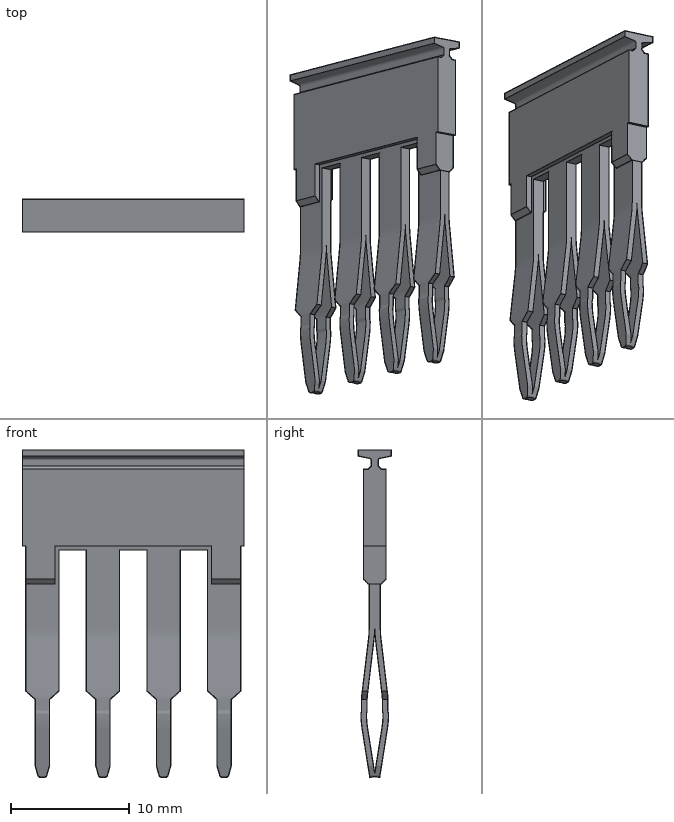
import cadquery as cq
import math


total_height = 27.6
housing_length = 18.7

flange_width = 2.8
flange_edge_height = 0.52
flange_underside_drop = 0.22
neck_width = 0.6
neck_fillet = 0.17
neck_chamfer = 0.28
housing_width = 1.93
shoulder_depth = 1.63
block_depth = 8.12

tab_depth = 11.32
tab_end_step = 0.28
tab_chamfer = 0.45

prong_count = 4
prong_pitch = 5.1
prong_width = 2.82
prong_overhang = 0.35
tab_wall = 0.28
spine_drop = 0.33
spine_height = 3.6
neckdown_top = 7.3
neckdown_bottom = 6.57
tip_width = 1.21
tip_taper_height = 0.97
tip_end_width = 0.65
tip_corner_radius = 0.25

comb_thickness = 0.97
leg_thickness = comb_thickness / 2
spread_angle = 6.8
spread_start = 12.5
spread_end = 11.68
straighten_start = 6.99
straighten_end = 6.57
jog_start = 5.63
jog_end = 5.35
jog_offset = 0.05
closing_end = 4.11
closing_angle = 9.0

shoulder_z = total_height - shoulder_depth
block_bottom = total_height - block_depth
tab_bottom = total_height - tab_depth
spine_bottom = block_bottom - spine_drop
spine_top = spine_bottom + spine_height
comb_length = (prong_count - 1) * prong_pitch + prong_width
prong_positions = [(i - (prong_count - 1) / 2) * prong_pitch for i in range(prong_count)]
tab_outer_x = housing_length / 2 - tab_end_step
tab_inner_x = comb_length / 2 - prong_width + prong_overhang
tab_length = tab_outer_x - tab_inner_x

spread_slope = math.tan(math.radians(spread_angle))
closing_slope = math.tan(math.radians(closing_angle))


def make_rail():
    """Main block with the flange standing on a narrow neck along its top."""
    flange_bottom = total_height - flange_edge_height
    neck_top = flange_bottom - flange_underside_drop
    half_profile = (
        cq.Workplane("YZ")
        .moveTo(0, total_height)
        .lineTo(flange_width / 2, total_height)
        .lineTo(flange_width / 2, flange_bottom)
        .lineTo(neck_width / 2, neck_top)
        .lineTo(neck_width / 2, shoulder_z + neck_chamfer)
        .lineTo(neck_width / 2 + neck_chamfer, shoulder_z)
        .lineTo(housing_width / 2, shoulder_z)
        .lineTo(housing_width / 2, block_bottom)
        .lineTo(0, block_bottom)
        .close()
    )
    half = half_profile.extrude(housing_length / 2, both=True)
    neck_edge = cq.selectors.NearestToPointSelector((0, neck_width / 2, neck_top))
    half = half.edges(neck_edge).fillet(neck_fillet)
    return half.union(half.mirror("XZ"))


def make_tab(side):
    """End tab reaching down over an outer prong; side is -1 or 1."""
    return (
        cq.Workplane("XY", origin=(side * (tab_outer_x - tab_length / 2), 0, tab_bottom))
        .rect(tab_length, housing_width)
        .extrude(block_bottom - tab_bottom)
        .edges("|X and <Z")
        .chamfer(tab_chamfer)
    )


def make_prong_outline(x):
    """Flat outline of one prong centred on x, thick enough to span the spread legs."""
    half_width = prong_width / 2
    half_tip = tip_width / 2
    right_side = [
        (half_width, spine_top),
        (half_width, neckdown_top),
        (half_tip, neckdown_bottom),
        (half_tip, tip_taper_height),
        (tip_end_width / 2, 0),
    ]
    left_side = [(-px, pz) for px, pz in reversed(right_side)]
    outline = [(x + px, pz) for px, pz in right_side + left_side]
    return (
        cq.Workplane("XZ")
        .polyline(outline)
        .close()
        .extrude(flange_width / 2, both=True)
        .edges("|Y and <Z")
        .fillet(tip_corner_radius)
    )


def make_comb_profile():
    """Comb cross-section extruded along X: solid at the top, split into two legs below."""
    spread_middle = (spread_start + spread_end) / 2
    straighten_middle = (straighten_start + straighten_end) / 2
    closing_middle = (jog_end + closing_end) / 2

    spread_shift = (spread_middle - spread_end) * spread_slope
    straighten_shift = (straighten_start - straighten_middle) * spread_slope
    closing_shift = (closing_middle - closing_end) * closing_slope

    outer_top = comb_thickness / 2
    outer_straight = outer_top + (spread_middle - straighten_middle) * spread_slope
    outer_jogged = outer_straight + jog_offset
    outer_tip = outer_jogged - closing_middle * closing_slope

    inner_straight = outer_straight - leg_thickness
    inner_jogged = outer_jogged - leg_thickness
    inner_closed = closing_middle - inner_jogged / closing_slope

    half_profile = (
        cq.Workplane("YZ")
        .moveTo(0, spine_top)
        .lineTo(outer_top, spine_top)
        .lineTo(outer_top, spread_start)
        .tangentArcPoint((outer_top + spread_shift, spread_end), relative=False)
        .lineTo(outer_straight - straighten_shift, straighten_start)
        .tangentArcPoint((outer_straight, straighten_end), relative=False)
        .lineTo(outer_straight, jog_start)
        .lineTo(outer_jogged, jog_end)
        .threePointArc(
            (outer_jogged - closing_shift / 4, closing_middle),
            (outer_jogged - closing_shift, closing_end),
        )
        .lineTo(outer_tip, 0)
        .lineTo(0, outer_tip * closing_slope)
        .lineTo(0, inner_closed)
        .lineTo(inner_jogged - closing_shift, closing_end)
        .tangentArcPoint((inner_jogged, jog_end), relative=False)
        .lineTo(inner_straight, jog_start)
        .lineTo(inner_straight, straighten_end)
        .tangentArcPoint((inner_straight - straighten_shift, straighten_start), relative=False)
        .lineTo(spread_shift, spread_end)
        .tangentArcPoint((0, spread_start), relative=False)
        .close()
    )
    half = half_profile.extrude(comb_length / 2, both=True)
    return half.union(half.mirror("XZ"))


def make_end_notch(side):
    """Cutter that sets an end prong back so that its tab closes around it; side is -1 or 1."""
    return (
        cq.Workplane("XY", origin=(side * (tab_outer_x - tab_wall / 2), 0, tab_bottom))
        .rect(tab_wall, flange_width)
        .extrude(spine_top - tab_bottom)
    )


def make_comb():
    """Spine and prongs cut from the bent cross-section."""
    outline = (
        cq.Workplane("XY", origin=(0, 0, spine_bottom))
        .rect(comb_length, comb_thickness)
        .extrude(spine_height)
    )
    for x in prong_positions:
        outline = outline.union(make_prong_outline(x))
    for side in (-1, 1):
        outline = outline.cut(make_end_notch(side))
    return make_comb_profile().intersect(outline)


def make_housing(comb):
    """Rail and end tabs, with a recess that matches the comb."""
    body = make_rail()
    for side in (-1, 1):
        body = body.union(make_tab(side))
    return body.cut(comb)


comb = make_comb()
housing = make_housing(comb)

result = cq.Compound.makeCompound([housing.val(), comb.val()])